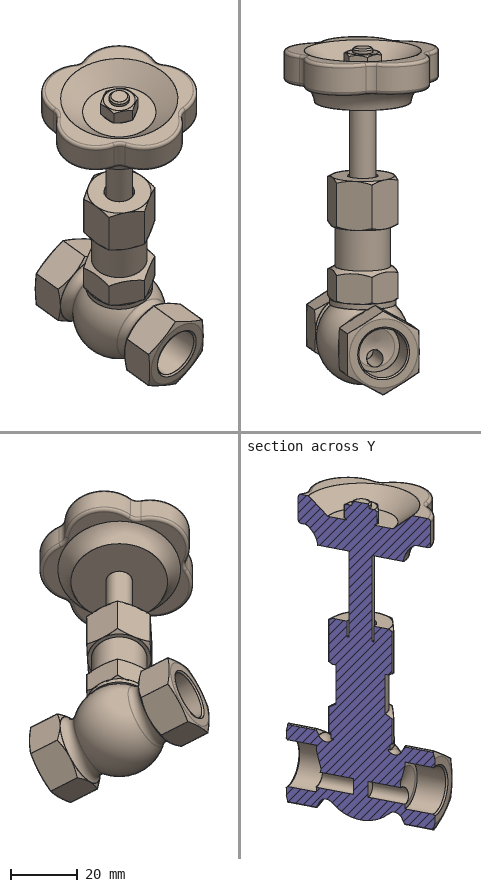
import cadquery as cq
import math


total_height = 102.5
pipe_length = 50.0

body_radius = 13.9
neck_x = 9.6
groove_radius = 2.7
pipe_hex_corners = 25.5
pipe_hex_flats = pipe_hex_corners * math.cos(math.radians(30))
pipe_hex_length = 11.1
pipe_face_diameter = 21.0
pipe_face_chamfer_angle = 15.0
half_pipe = pipe_length / 2
pipe_hex_inner_x = half_pipe - pipe_hex_length

bore_diameter = 15.0
bore_depth = 10.0
bore_chamfer = 0.5
drill_diameter = 12.0
drill_point_half_angle = 74.0
passage_diameter = 5.0
passage_drop = 3.5
centre_wall = 5.0

collar_diameter = 20.0
collar_bottom = 10.6
bonnet_hex_bottom = 12.2
bonnet_hex_top = 22.0
bonnet_diameter = 16.7

stem_hex_corners = 21.9
stem_hex_flats = stem_hex_corners * math.cos(math.radians(30))
gland_bottom = 34.5
gland_top = 49.5
gland_hole_diameter = 9.0
gland_hole_depth = 5.0
hex_chamfer_angle = 30.0

stem_diameter = 8.0
stem_tip_diameter = 6.0
stem_tip_chamfer = 0.5
tip_height = 1.0
stem_top = total_height - body_radius

wheel_top = stem_top - tip_height
wheel_thickness = 9.5
wheel_bottom = wheel_top - wheel_thickness
wheel_edge_radius = 1.0
lobe_count = 5
lobe_radius = 11.8
lobe_offset = 12.0
valley_radius = 3.5
first_valley_angle = 100.8
hub_bottom = 72.0
hub_bottom_radius = 14.5
hub_top_radius = 18.3
hub_arc_bulge = 0.8
dish_top_diameter = 35.1
dish_floor_diameter = 21.9
dish_depth = 5.4

wheel_nut_corners = 11.6
wheel_nut_chamfer_diameter = 9.5
wheel_nut_height = 5.0
dish_floor = wheel_top - dish_depth


def cylinder(diameter, bottom, top):
    """Solid cylinder on the Z axis."""
    return cq.Workplane("XY").workplane(offset=bottom).circle(diameter / 2).extrude(top - bottom)


def hexagon(corners, bottom, top, bottom_circle, top_circle,
            bottom_angle=hex_chamfer_angle, top_angle=hex_chamfer_angle):
    """Hexagonal prism on Z, corners on +X and -X, each end turned down to a circle by a cone."""
    corner_radius = corners / 2
    bottom_radius = bottom_circle / 2
    top_radius = top_circle / 2
    bottom_rise = (corner_radius - bottom_radius) * math.tan(math.radians(bottom_angle))
    top_drop = (corner_radius - top_radius) * math.tan(math.radians(top_angle))
    prism = cq.Workplane("XY").workplane(offset=bottom).polygon(6, corners).extrude(top - bottom)
    envelope = (
        cq.Workplane("XZ")
        .moveTo(0, bottom)
        .lineTo(bottom_radius, bottom)
        .lineTo(corner_radius, bottom + bottom_rise)
        .lineTo(corner_radius, top - top_drop)
        .lineTo(top_radius, top)
        .lineTo(0, top)
        .close()
        .revolve(360, (0, 0, 0), (0, 1, 0))
    )
    return prism.intersect(envelope)


def half_body():
    """-X half of the body: half sphere, neck groove tangent to it, and the pipe hexagon."""
    centre_distance = body_radius + groove_radius
    neck_y = math.sqrt(body_radius**2 - neck_x**2)
    groove_x = neck_x * centre_distance / body_radius
    groove_y = neck_y * centre_distance / body_radius
    end_y = groove_y - math.sqrt(groove_radius**2 - (pipe_hex_inner_x - groove_x) ** 2)
    sphere_middle = math.asin(neck_x / body_radius) / 2
    lathe = (
        cq.Workplane("XY")
        .moveTo(0, 0)
        .lineTo(0, body_radius)
        .threePointArc(
            (-body_radius * math.sin(sphere_middle), body_radius * math.cos(sphere_middle)),
            (-neck_x, neck_y),
        )
        .threePointArc((-groove_x, groove_y - groove_radius), (-pipe_hex_inner_x, end_y))
        .lineTo(-pipe_hex_inner_x, 0)
        .close()
        .revolve(360, (0, 0, 0), (1, 0, 0))
    )
    pipe_end = hexagon(
        pipe_hex_corners, pipe_hex_inner_x, half_pipe,
        pipe_hex_flats, pipe_face_diameter, top_angle=pipe_face_chamfer_angle,
    ).rotate((0, 0, 0), (0, 1, 0), -90)
    return lathe.union(pipe_end)


def socket():
    """Cutter for the -X socket: chamfered bore, conical drill point and blind passage."""
    mouth_x = -half_pipe
    bore_end_x = mouth_x + bore_depth
    bore_radius = bore_diameter / 2
    drill_radius = drill_diameter / 2
    point_length = drill_radius / math.tan(math.radians(drill_point_half_angle))
    bore = (
        cq.Workplane("XY")
        .moveTo(mouth_x, 0)
        .lineTo(mouth_x, bore_radius + bore_chamfer)
        .lineTo(mouth_x + bore_chamfer, bore_radius)
        .lineTo(bore_end_x, bore_radius)
        .lineTo(bore_end_x, drill_radius)
        .lineTo(bore_end_x + point_length, 0)
        .close()
        .revolve(360, (0, 0, 0), (1, 0, 0))
    )
    passage = (
        cq.Workplane("YZ")
        .workplane(offset=bore_end_x)
        .center(0, -passage_drop)
        .circle(passage_diameter / 2)
        .extrude(-centre_wall / 2 - bore_end_x)
    )
    return bore.union(passage)


def bonnet():
    """Collar, hexagon with a conical top, and the cylinder up to the gland nut."""
    collar = cylinder(collar_diameter, collar_bottom, bonnet_hex_bottom)
    hex_part = hexagon(
        stem_hex_corners, bonnet_hex_bottom, bonnet_hex_top, collar_diameter, bonnet_diameter
    )
    barrel = cylinder(bonnet_diameter, bonnet_hex_bottom, gland_bottom)
    return collar.union(hex_part).union(barrel)


def gland_nut():
    """Hexagonal gland nut with a clearance hole around the stem."""
    nut = hexagon(stem_hex_corners, gland_bottom, gland_top, stem_hex_flats, stem_hex_flats)
    return nut.cut(cylinder(gland_hole_diameter, gland_top - gland_hole_depth, gland_top))


def stem():
    """Stem up to the dish floor, with a thinner chamfered tip through the wheel nut."""
    shaft = cylinder(stem_diameter, gland_bottom, dish_floor)
    tip = cylinder(stem_tip_diameter, dish_floor, stem_top).faces(">Z").chamfer(stem_tip_chamfer)
    return shaft.union(tip)


def polar(radius, angle):
    """Point at a distance and an angle in degrees from the stem axis."""
    return radius * math.cos(math.radians(angle)), radius * math.sin(math.radians(angle))


def wheel_rim():
    """Lobed rim: large outward arcs joined by small tangent valley arcs."""
    pitch = 360 / lobe_count
    half_pitch = math.radians(pitch / 2)
    lobe_side = lobe_offset * math.sin(half_pitch)
    lobe_along = lobe_offset * math.cos(half_pitch)
    span = lobe_radius + valley_radius
    valley_centre = lobe_along + math.sqrt(span**2 - lobe_side**2)
    touch_side = lobe_side * valley_radius / span
    touch_along = valley_centre - (valley_centre - lobe_along) * valley_radius / span
    touch_radius = math.hypot(touch_side, touch_along)
    touch_angle = math.degrees(math.atan2(touch_side, touch_along))

    outline = cq.Workplane("XY").workplane(offset=wheel_bottom)
    outline = outline.moveTo(*polar(touch_radius, first_valley_angle - touch_angle))
    for index in range(lobe_count):
        valley = first_valley_angle + index * pitch
        outline = outline.threePointArc(
            polar(valley_centre - valley_radius, valley),
            polar(touch_radius, valley + touch_angle),
        ).threePointArc(
            polar(lobe_offset + lobe_radius, valley + pitch / 2),
            polar(touch_radius, valley + pitch - touch_angle),
        )
    rim = outline.close().extrude(wheel_thickness)
    return rim.faces("<Z or >Z").edges().fillet(wheel_edge_radius)


def wheel_hub():
    """Flared hub under the rim with a concave side."""
    hub_rise = wheel_bottom - hub_bottom
    hub_flare = hub_top_radius - hub_bottom_radius
    chord = math.hypot(hub_rise, hub_flare)
    middle = (
        (hub_bottom_radius + hub_top_radius) / 2 - hub_arc_bulge * hub_rise / chord,
        (hub_bottom + wheel_bottom) / 2 + hub_arc_bulge * hub_flare / chord,
    )
    return (
        cq.Workplane("XZ")
        .moveTo(0, hub_bottom)
        .lineTo(hub_bottom_radius, hub_bottom)
        .threePointArc(middle, (hub_top_radius, wheel_bottom))
        .lineTo(0, wheel_bottom)
        .close()
        .revolve(360, (0, 0, 0), (0, 1, 0))
    )


def handwheel():
    """Rim and hub with a conical dish in the top."""
    dish = (
        cq.Workplane("XY")
        .workplane(offset=dish_floor)
        .circle(dish_floor_diameter / 2)
        .workplane(offset=dish_depth)
        .circle(dish_top_diameter / 2)
        .loft(ruled=True)
    )
    return wheel_rim().union(wheel_hub()).cut(dish)


def wheel_nut():
    """Nut on the dish floor, chamfered at both ends."""
    return hexagon(
        wheel_nut_corners, dish_floor, dish_floor + wheel_nut_height,
        wheel_nut_chamfer_diameter, wheel_nut_chamfer_diameter,
    )


body_half = half_body()
body = body_half.union(body_half.mirror("YZ")).union(bonnet())
socket_cutter = socket()
body = body.cut(socket_cutter).cut(socket_cutter.mirror("YZ"))
result = body.union(gland_nut()).union(stem()).union(handwheel()).union(wheel_nut())